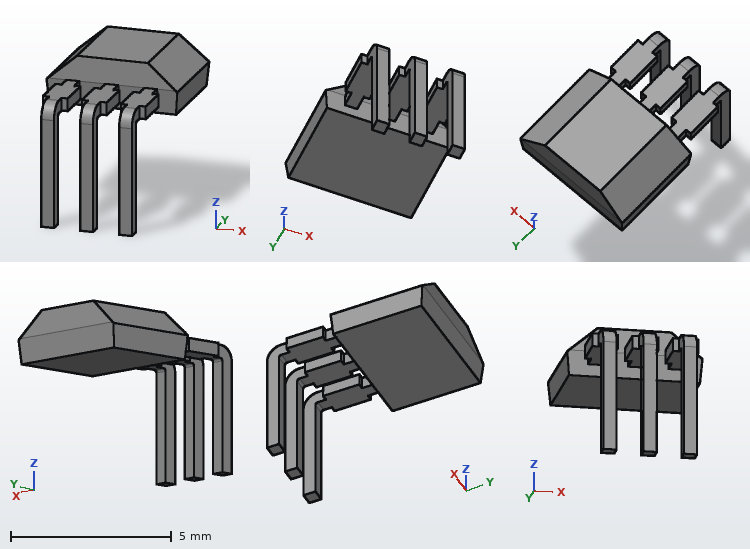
import cadquery as cq
import math


housing_depth = 3.205
half_height = 0.8
draft_angle = 5.0
housing_width = 4.29
side_edge_drop = 0.04
top_face_width = 2.325

lead_count = 3
lead_pitch = 1.28
lead_size = 0.42
lead_drop = 4.03
neck_length = 0.485
block_length = 1.26
block_width = 0.815
bend_outer_radius = 0.505
lead_front_y = housing_depth / 2 - 5.73

draft_slope = math.tan(math.radians(draft_angle))
bend_inner_radius = bend_outer_radius - lead_size
housing_front_y = -housing_depth / 2
block_back_y = housing_front_y - neck_length
bend_start_y = lead_front_y + bend_outer_radius
lead_inner_y = lead_front_y + lead_size


def make_housing():
    """Common volume of the sloped front outline and the drafted side outline."""
    half_width = housing_width / 2
    half_top = top_face_width / 2
    half_bottom = half_width - (half_height - side_edge_drop) * draft_slope
    front_outline = (
        cq.Workplane("XZ")
        .polyline([
            (-half_bottom, -half_height),
            (half_bottom, -half_height),
            (half_width, -side_edge_drop),
            (half_top, half_height),
            (-half_top, half_height),
            (-half_width, -side_edge_drop),
        ])
        .close()
        .extrude(housing_depth / 2, both=True)
    )

    half_depth = housing_depth / 2
    half_end_depth = half_depth - half_height * draft_slope
    side_outline = (
        cq.Workplane("YZ")
        .polyline([
            (-half_end_depth, -half_height),
            (half_end_depth, -half_height),
            (half_depth, 0),
            (half_end_depth, half_height),
            (-half_end_depth, half_height),
            (-half_depth, 0),
        ])
        .close()
        .extrude(half_width, both=True)
    )
    return front_outline.intersect(side_outline).solids()


def make_lead(center_x):
    """Bent square lead whose back end lies flush on the drafted front wall."""
    wall_y_at_lead_bottom = housing_front_y + lead_size * draft_slope
    bend_center_z = -bend_outer_radius
    arc_part = math.sqrt(0.5)
    outer_mid = (bend_start_y - bend_outer_radius * arc_part, bend_center_z + bend_outer_radius * arc_part)
    inner_mid = (bend_start_y - bend_inner_radius * arc_part, bend_center_z + bend_inner_radius * arc_part)
    bent_bar = (
        cq.Workplane("YZ")
        .moveTo(housing_front_y, 0)
        .lineTo(bend_start_y, 0)
        .threePointArc(outer_mid, (lead_front_y, bend_center_z))
        .lineTo(lead_front_y, -lead_drop)
        .lineTo(lead_inner_y, -lead_drop)
        .lineTo(lead_inner_y, bend_center_z)
        .threePointArc(inner_mid, (bend_start_y, -lead_size))
        .lineTo(wall_y_at_lead_bottom, -lead_size)
        .close()
        .extrude(lead_size / 2, both=True)
    )
    wide_block = (
        cq.Workplane("XY")
        .box(block_width, block_length, lead_size)
        .translate((0, block_back_y - block_length / 2, -lead_size / 2))
    )
    return bent_bar.union(wide_block).translate((center_x, 0, 0)).solids()


housing = make_housing()

leads = []
for index in range(lead_count):
    lead_x = (index - (lead_count - 1) / 2) * lead_pitch
    leads.append(make_lead(lead_x))

result = cq.Compound.makeCompound([housing.val(), *[lead.val() for lead in leads]])